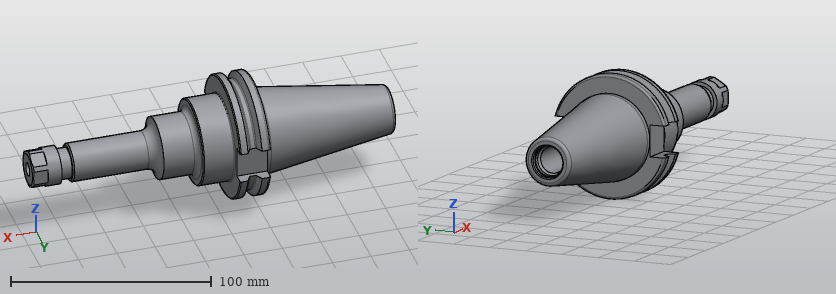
import cadquery as cq
import math

length = 188.2

gauge_dia = 44.5
gauge_x = 68.1
taper_ratio = 7 / 24
tail_dia = gauge_dia - gauge_x * taper_ratio
tail_fillet = 1.9

flange_dia = 63.3
flange_x = 71.0
flange_width = 16.0
flange_end_x = flange_x + flange_width
flange_rear_fillet = 1.1
flange_front_chamfer = 0.5
flange_root_fillet = 0.5
groove_dia = 56.1
groove_floor_width = 3.2
groove_fillet = 0.8
groove_center_x = 79.3
groove_half_angle = 30.0
selection_margin = 0.2
slot_width = 16.2
front_slot_floor = 22.4
back_slot_floor = 24.7

body_end_x = 103.5
body_chamfer = 0.5
shoulder_dia = 32.0
shoulder_fillet = 2.8
shoulder_end_x = 122.2
stem_dia = 19.5
stem_fillet = 6.0
stem_end_x = 167.5
stem_chamfer = 0.8
neck_dia = 15.8
nut_x = 173.4

mouth_dia = 16.4
mouth_chamfer = 0.5
mouth_depth = 2.5
thread_relief_dia = 15.5
thread_relief_depth = 4.7
thread_dia = 13.5
thread_start_depth = 6.2
thread_depth = 30.1
drill_half_angle = 60.0
coolant_dia = 6.5

nut_dia = 19.5
nut_across_flats = 18.0
nut_flat_x = 180.5
nut_flat_count = 6
nut_chamfer_length = 0.5
nut_chamfer_depth = 1.7


def arc_point(center_x, center_r, radius, angle):
    """Point on a circle at the given angle in degrees, in the X-radius plane."""
    a = math.radians(angle)
    return (center_x + radius * math.cos(a), center_r + radius * math.sin(a))


def revolve_about_x(profile):
    return profile.close().revolve(360, (0, 0, 0), (1, 0, 0))


def holder_blank():
    """Outer turned shape of the holder, solid to the axis."""
    tail_r = tail_dia / 2
    gauge_r = gauge_dia / 2
    flange_r = flange_dia / 2
    groove_r = groove_dia / 2
    shoulder_r = shoulder_dia / 2
    stem_r = stem_dia / 2
    neck_r = neck_dia / 2

    slope = math.degrees(math.atan(taper_ratio / 2))
    tangent = tail_fillet * math.tan(math.radians((90 - slope) / 2))
    tail_center_r = tail_r - tangent
    fillet_end = arc_point(tail_fillet, tail_center_r, tail_fillet, 90 + slope)
    fillet_mid = arc_point(tail_fillet, tail_center_r, tail_fillet, 135 + slope / 2)

    floor_half = groove_floor_width / 2
    mouth_half = floor_half + (flange_r - groove_r) * math.tan(math.radians(groove_half_angle))

    rim_center = (flange_x + flange_rear_fillet, flange_r - flange_rear_fillet)
    root_center = (flange_end_x + flange_root_fillet, gauge_r + flange_root_fillet)
    shoulder_center = (body_end_x + shoulder_fillet, shoulder_r + shoulder_fillet)
    stem_center = (shoulder_end_x + stem_fillet, stem_r + stem_fillet)

    profile = (
        cq.Workplane("XY")
        .moveTo(0, 0)
        .lineTo(0, tail_center_r)
        .threePointArc(fillet_mid, fillet_end)
        .lineTo(gauge_x, gauge_r)
        .lineTo(flange_x, gauge_r)
        .lineTo(flange_x, rim_center[1])
        .threePointArc(arc_point(*rim_center, flange_rear_fillet, 135), (rim_center[0], flange_r))
        .lineTo(groove_center_x - mouth_half, flange_r)
        .lineTo(groove_center_x - floor_half, groove_r)
        .lineTo(groove_center_x + floor_half, groove_r)
        .lineTo(groove_center_x + mouth_half, flange_r)
        .lineTo(flange_end_x - flange_front_chamfer, flange_r)
        .lineTo(flange_end_x, flange_r - flange_front_chamfer)
        .lineTo(flange_end_x, root_center[1])
        .threePointArc(arc_point(*root_center, flange_root_fillet, 225), (root_center[0], gauge_r))
        .lineTo(body_end_x - body_chamfer, gauge_r)
        .lineTo(body_end_x, gauge_r - body_chamfer)
        .lineTo(body_end_x, shoulder_center[1])
        .threePointArc(arc_point(*shoulder_center, shoulder_fillet, 225), (shoulder_center[0], shoulder_r))
        .lineTo(shoulder_end_x, shoulder_r)
        .lineTo(shoulder_end_x, stem_center[1])
        .threePointArc(arc_point(*stem_center, stem_fillet, 225), (stem_center[0], stem_r))
        .lineTo(stem_end_x - stem_chamfer, stem_r)
        .lineTo(stem_end_x, stem_r - stem_chamfer)
        .lineTo(stem_end_x, neck_r)
        .lineTo(nut_x, neck_r)
        .lineTo(nut_x, 0)
    )
    blank = revolve_about_x(profile)

    reach_x = floor_half + selection_margin
    reach_r = groove_r + selection_margin
    floor_edges = cq.selectors.BoxSelector(
        (groove_center_x - reach_x, -reach_r, -reach_r),
        (groove_center_x + reach_x, reach_r, reach_r),
        boundingbox=True,
    )
    return blank.edges(floor_edges).edges("%CIRCLE").fillet(groove_fillet)


def drawbar_bore():
    """Stepped bore from the tail, running on as the coolant hole."""
    thread_r = thread_dia / 2
    coolant_r = coolant_dia / 2
    drill_point = (thread_r - coolant_r) / math.tan(math.radians(drill_half_angle))
    profile = (
        cq.Workplane("XY")
        .moveTo(0, 0)
        .lineTo(0, mouth_dia / 2 + mouth_chamfer)
        .lineTo(mouth_chamfer, mouth_dia / 2)
        .lineTo(mouth_depth, mouth_dia / 2)
        .lineTo(mouth_depth, thread_relief_dia / 2)
        .lineTo(thread_relief_depth, thread_relief_dia / 2)
        .lineTo(thread_start_depth, thread_r)
        .lineTo(thread_depth, thread_r)
        .lineTo(thread_depth + drill_point, coolant_r)
        .lineTo(nut_x, coolant_r)
        .lineTo(nut_x, 0)
    )
    return revolve_about_x(profile)


def key_slot(side, floor_distance):
    """Cutter for one drive slot across the flange rim; side is -1 or 1 along Y."""
    slot_depth = flange_dia / 2 - floor_distance
    center_x = flange_x + flange_width / 2
    center_y = side * (floor_distance + slot_depth / 2)
    return cq.Workplane("XY").box(flange_width, slot_depth, slot_width).translate((center_x, center_y, 0))


def make_holder():
    body = holder_blank()
    body = body.cut(key_slot(-1, front_slot_floor))
    body = body.cut(key_slot(1, back_slot_floor))
    return body.cut(drawbar_bore())


def make_nut():
    """Round nut with wrench flats at its front and the coolant hole through it."""
    nut_r = nut_dia / 2
    coolant_r = coolant_dia / 2
    profile = (
        cq.Workplane("XY")
        .moveTo(nut_x, coolant_r)
        .lineTo(nut_x, nut_r)
        .lineTo(length - nut_chamfer_length, nut_r)
        .lineTo(length, nut_r - nut_chamfer_depth)
        .lineTo(length, coolant_r)
    )
    nut = revolve_about_x(profile)

    flat_length = length - nut_flat_x
    flat_cutter = cq.Workplane("XY").box(flat_length, nut_r, nut_dia).translate(
        (nut_flat_x + flat_length / 2, nut_across_flats / 2 + nut_r / 2, 0)
    )
    for i in range(nut_flat_count):
        angle = i * 360 / nut_flat_count
        nut = nut.cut(flat_cutter.rotate((0, 0, 0), (1, 0, 0), angle))
    return nut


holder = make_holder()
nut = make_nut()

result = cq.Compound.makeCompound([holder.val(), nut.val()])